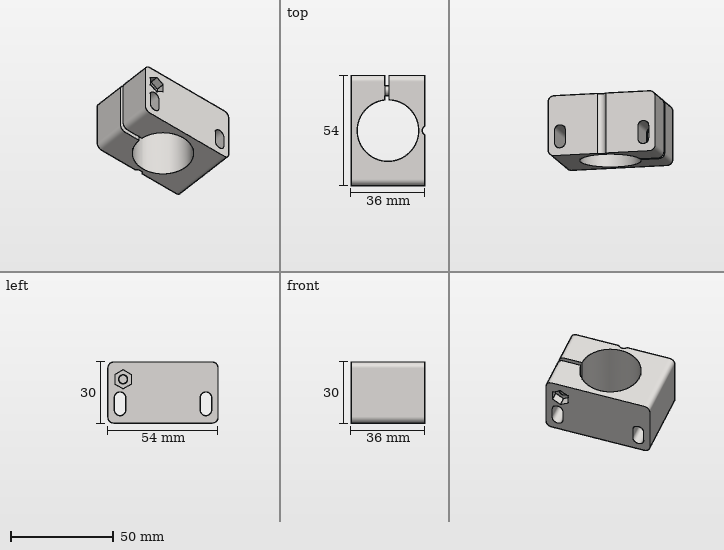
import cadquery as cq
import math

WIDTH = 36.0
LENGTH = 54.0
HEIGHT = 30.0
EDGE_RADIUS = 3.0

BORE_DIAMETER = 30.0

SLIT_WIDTH = 2.0
SLIT_CENTER_X = -0.5

GROOVE_DIAMETER = 5.0
GROOVE_DEPTH = 1.2

SLOT_WIDTH = 5.5
SLOT_TRAVEL = 6.0
SLOT_OFFSET_Y = 21.0
SLOT_CENTER_Z = -5.5

SCREW_Y = 19.5
SCREW_Z = 6.5
SCREW_DIAMETER = 5.0
NUT_ACROSS_FLATS = 8.1
NUT_POCKET_DEPTH = 4.4
TIP_BASE_DIAMETER = 4.5
TIP_END_DIAMETER = 4.134
TIP_LENGTH = (TIP_BASE_DIAMETER - TIP_END_DIAMETER) / 2

LEFT_X = -WIDTH / 2
RIGHT_X = WIDTH / 2


def plane_across_x(x, y=0.0, z=0.0):
    """Plane facing +X with its origin at the given point; local axes are Y and Z."""
    return cq.Workplane("YZ", origin=(x, y, z))


def make_body():
    return cq.Workplane("XY").box(WIDTH, LENGTH, HEIGHT).edges("|X").fillet(EDGE_RADIUS)


def vertical_cylinder(x, diameter):
    """Cylinder along Z, as tall as the body."""
    base = cq.Workplane("XY", origin=(x, 0, -HEIGHT / 2))
    return base.circle(diameter / 2).extrude(HEIGHT)


def make_slit():
    """Cut that opens the bore to the +Y side."""
    reach = LENGTH / 2
    slit = cq.Workplane("XY").box(SLIT_WIDTH, reach, HEIGHT)
    return slit.translate((SLIT_CENTER_X, reach / 2, 0))


def make_mounting_slot(y):
    slot = plane_across_x(LEFT_X, y, SLOT_CENTER_Z)
    return slot.slot2D(SLOT_TRAVEL + SLOT_WIDTH, SLOT_WIDTH, 90).extrude(WIDTH)


def make_nut_pocket():
    """Hexagonal pocket with two corners pointing up and down."""
    across_corners = NUT_ACROSS_FLATS / math.cos(math.pi / 6)
    pocket = plane_across_x(LEFT_X, SCREW_Y, SCREW_Z).transformed(rotate=(0, 0, 90))
    return pocket.polygon(6, across_corners).extrude(NUT_POCKET_DEPTH)


def make_screw_shank():
    """Length of the clamp screw that crosses the slit."""
    shank = plane_across_x(SLIT_CENTER_X - SLIT_WIDTH / 2, SCREW_Y, SCREW_Z)
    return shank.circle(SCREW_DIAMETER / 2).extrude(SLIT_WIDTH)


def make_screw_tip():
    """Tapered screw end standing on the floor of the nut pocket."""
    tip_end_x = LEFT_X + NUT_POCKET_DEPTH - TIP_LENGTH
    tip = plane_across_x(tip_end_x, SCREW_Y, SCREW_Z).circle(TIP_END_DIAMETER / 2)
    return tip.workplane(offset=TIP_LENGTH).circle(TIP_BASE_DIAMETER / 2).loft()


groove_axis_x = RIGHT_X - GROOVE_DEPTH + GROOVE_DIAMETER / 2

result = make_body()
result = result.cut(vertical_cylinder(0, BORE_DIAMETER))
result = result.cut(make_slit())
result = result.cut(vertical_cylinder(groove_axis_x, GROOVE_DIAMETER))
for slot_y in (-SLOT_OFFSET_Y, SLOT_OFFSET_Y):
    result = result.cut(make_mounting_slot(slot_y))
result = result.cut(make_nut_pocket())
result = result.union(make_screw_shank())
result = result.union(make_screw_tip())